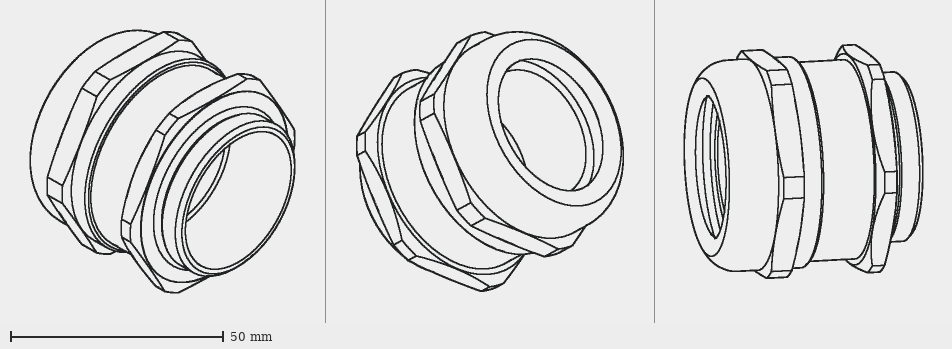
import cadquery as cq
import math


across_flats = 50.0
corner_dia = 55.0
cap_hex_front_angle = 13.0
cap_hex_back_angle = 10.0
body_hex_front_angle = 30.0
body_hex_back_angle = 11.0

cap_dia = 49.8
cap_length = 22.05
cap_end_chamfer = 0.6
dome_length = 6.2
dome_front_dia = 42.0
cap_hex_start = 10.95
cap_hex_end = 17.0
lip_dia = 33.5
lip_radius = 1.29
lip_thickness = 1.65
cap_bore_dia = 45.5
cap_bore_start = 4.95

insert_start = 6.8
insert_collar_end = 10.95
insert_sleeve_dia = 42.6
insert_end = 27.5
seal_outer_dia = 37.0
seal_bore_dia = 32.0

barrel_dia = 47.0
body_hex_start = 34.6
body_hex_end = 39.6
seat_end = 39.75
seat_dia = 49.15
body_end = 47.6
body_bore_dia = 35.4
thread_dia = 40.0
thread_start_chamfer = 0.55
thread_end_chamfer = 1.1

ring_section = 1.85
ring_outer_dia = 41.95
neck_dia = ring_outer_dia - 2 * ring_section
neck_end = seat_end + ring_section


def revolve_about_x(profile):
    """Turn a closed profile of (x, radius) once round the X axis."""
    return profile.close().revolve(360, (0, 0, 0), (1, 0, 0))


def cylinder(start, end, diameter):
    return cq.Workplane("YZ", origin=(start, 0, 0)).circle(diameter / 2).extrude(end - start)


def bevel_length(angle):
    """Length along X of a corner bevel, which starts at the cap nut's skirt diameter."""
    return (corner_dia - cap_dia) / 2 * math.tan(math.radians(angle))


def hexagon(start, end, front_angle, back_angle):
    """Hexagon with flats on top and bottom; cones bevel its corners on both faces."""
    prism = (
        cq.Workplane("YZ", origin=(start, 0, 0))
        .polygon(6, across_flats / math.cos(math.radians(30)))
        .extrude(end - start)
    )
    turned_blank = revolve_about_x(
        cq.Workplane("XY")
        .moveTo(start, 0)
        .lineTo(start, cap_dia / 2)
        .lineTo(start + bevel_length(front_angle), corner_dia / 2)
        .lineTo(end - bevel_length(back_angle), corner_dia / 2)
        .lineTo(end, cap_dia / 2)
        .lineTo(end, 0)
    )
    return prism.intersect(turned_blank)


def make_cap_nut():
    dome_drop = (cap_dia - dome_front_dia) / 2
    dome_radius = (dome_length**2 + dome_drop**2) / (2 * dome_drop)
    dome_half_angle = math.asin(dome_length / dome_radius) / 2
    dome_middle = (
        dome_length - dome_radius * math.sin(dome_half_angle),
        cap_dia / 2 - dome_radius * (1 - math.cos(dome_half_angle)),
    )
    shell = revolve_about_x(
        cq.Workplane("XY")
        .moveTo(0, 0)
        .lineTo(0, dome_front_dia / 2)
        .threePointArc(dome_middle, (dome_length, cap_dia / 2))
        .lineTo(cap_length - cap_end_chamfer, cap_dia / 2)
        .lineTo(cap_length, cap_dia / 2 - cap_end_chamfer)
        .lineTo(cap_length, 0)
    )
    cap_hex = hexagon(cap_hex_start, cap_hex_end, cap_hex_front_angle, cap_hex_back_angle)
    nut = shell.union(cap_hex)
    lip_middle = (
        lip_radius * (1 - math.sin(math.radians(45))),
        lip_dia / 2 + lip_radius * (1 - math.cos(math.radians(45))),
    )
    opening = revolve_about_x(
        cq.Workplane("XY")
        .moveTo(0, 0)
        .lineTo(0, lip_dia / 2 + lip_radius)
        .threePointArc(lip_middle, (lip_radius, lip_dia / 2))
        .lineTo(lip_thickness, lip_dia / 2)
        .lineTo(cap_bore_start, cap_bore_dia / 2)
        .lineTo(cap_length, cap_bore_dia / 2)
        .lineTo(cap_length, 0)
    )
    return nut.cut(opening)


def make_clamping_insert():
    collar = cylinder(insert_start, insert_collar_end, cap_bore_dia)
    sleeve = cylinder(insert_collar_end, insert_end, insert_sleeve_dia)
    return collar.union(sleeve).cut(cylinder(insert_start, insert_end, seal_outer_dia))


def make_seal():
    plug = cylinder(insert_start, insert_end, seal_outer_dia)
    return plug.cut(cylinder(insert_start, insert_end, seal_bore_dia))


def make_gland_body():
    screwed_end = cylinder(insert_collar_end, cap_length, cap_bore_dia)
    barrel = cylinder(cap_length, body_hex_start, barrel_dia)
    body_hex = hexagon(body_hex_start, body_hex_end, body_hex_front_angle, body_hex_back_angle)
    seat = cylinder(body_hex_end, seat_end, seat_dia)
    neck = cylinder(seat_end, neck_end, neck_dia)
    thread = (
        cylinder(neck_end, body_end, thread_dia)
        .faces("<X").chamfer(thread_start_chamfer)
        .faces(">X").chamfer(thread_end_chamfer)
    )
    body = screwed_end.union(barrel).union(body_hex).union(seat).union(neck).union(thread)
    body = body.cut(cylinder(insert_collar_end, insert_end, insert_sleeve_dia))
    return body.cut(cylinder(insert_end, body_end, body_bore_dia))


def make_o_ring():
    section_radius = ring_section / 2
    section = (
        cq.Workplane("XY")
        .moveTo(seat_end + section_radius, ring_outer_dia / 2 - section_radius)
        .circle(section_radius)
    )
    return section.revolve(360, (0, 0, 0), (1, 0, 0))


cap_nut = make_cap_nut()
clamping_insert = make_clamping_insert()
seal = make_seal()
gland_body = make_gland_body()
o_ring = make_o_ring()

result = cq.Compound.makeCompound(
    [cap_nut.val(), clamping_insert.val(), seal.val(), gland_body.val(), o_ring.val()]
)